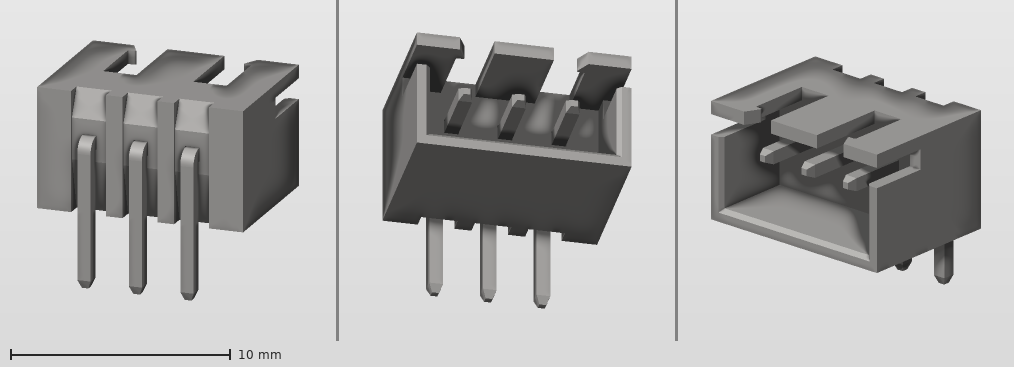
import cadquery as cq


WIDTH = 10.0
DEPTH = 7.21
HEIGHT = 5.8
WALL = 0.65
CAVITY_DEPTH = 4.0
MOUTH_FLARE = 0.2

SIDE_SLOT_DEPTH = 3.03
SIDE_SLOT_HEIGHT = 1.0
ROOF_SLOT_DEPTH = CAVITY_DEPTH
ROOF_SLOT_INNER = 1.38
ROOF_SLOT_OUTER = 3.0

HOOK_REACH = 0.42
HOOK_LENGTH = 0.8
HOOK_ROUNDING = 0.07

PIN_COUNT = 3
PIN_PITCH = 2.5
PIN_SIZE = 0.64
PIN_AXIS_HEIGHT = 3.42
PIN_REAR = -0.61
PIN_BOTTOM = -3.4
PIN_BEND_RADIUS = 0.7
PIN_TIP_SETBACK = 0.7
TIP_LENGTH = 0.4
TIP_SIZE = PIN_SIZE / 2
PIN_HOLE_SIZE = 0.7

RECESS_WIDTH = 1.7
RECESS_DEPTH = 0.11
RECESS_EDGE_DEPTH = 0.7
RECESS_FACE_BOTTOM = 2.5
RECESS_FACE_TOP = 4.5

CAVITY_TOP = HEIGHT - WALL
CAVITY_HEIGHT = CAVITY_TOP - WALL
CAVITY_WIDTH = WIDTH - 2 * WALL
CAVITY_END = DEPTH - CAVITY_DEPTH

pin_positions = [(i - (PIN_COUNT - 1) / 2) * PIN_PITCH for i in range(PIN_COUNT)]


def box(x_size, y_range, z_range):
    """Box centred on X = 0 that spans the given Y and Z ranges."""
    y_size = y_range[1] - y_range[0]
    z_size = z_range[1] - z_range[0]
    corner = (-x_size / 2, y_range[0], z_range[0])
    return cq.Workplane("XY", origin=corner).box(x_size, y_size, z_size, centered=False)


def make_cavity():
    """Blind cavity with a flared mouth; its ceiling stays flat."""
    cavity = box(CAVITY_WIDTH, (CAVITY_END, DEPTH), (WALL, CAVITY_TOP))
    flare_height = CAVITY_HEIGHT + MOUTH_FLARE
    flare = (
        cq.Workplane("XZ", origin=(0, DEPTH, CAVITY_TOP))
        .center(0, -flare_height / 2)
        .rect(CAVITY_WIDTH + 2 * MOUTH_FLARE, flare_height)
        .workplane(offset=MOUTH_FLARE)
        .center(0, MOUTH_FLARE / 2)
        .rect(CAVITY_WIDTH, CAVITY_HEIGHT)
        .loft(ruled=True)
    )
    return cavity.union(flare)


def make_side_slots():
    """One cut through both side walls, directly below the roof."""
    return box(WIDTH, (DEPTH - SIDE_SLOT_DEPTH, DEPTH), (CAVITY_TOP - SIDE_SLOT_HEIGHT, CAVITY_TOP))


def make_roof_slot():
    """Slot through the roof on the +X side; its outline leaves the latch hook standing."""
    hook_tip = ROOF_SLOT_OUTER - HOOK_REACH
    hook_rear = DEPTH - HOOK_LENGTH
    slot_end = DEPTH - ROOF_SLOT_DEPTH
    mid_height = CAVITY_TOP + WALL / 2
    slot = (
        cq.Workplane("XY", origin=(0, 0, CAVITY_TOP))
        .polyline([
            (ROOF_SLOT_INNER, DEPTH),
            (ROOF_SLOT_OUTER, DEPTH),
            (hook_tip, hook_rear),
            (ROOF_SLOT_OUTER, hook_rear),
            (ROOF_SLOT_OUTER, slot_end),
            (ROOF_SLOT_INNER, slot_end),
        ])
        .close()
        .extrude(WALL)
    )
    for x in (hook_tip, ROOF_SLOT_OUTER):
        corner = cq.selectors.NearestToPointSelector((x, hook_rear, mid_height))
        slot = slot.edges(corner).fillet(HOOK_ROUNDING)
    return slot


def make_rear_recess():
    """Full-height recess with an upright face between two slopes."""
    return (
        cq.Workplane("YZ")
        .polyline([
            (0, 0),
            (RECESS_EDGE_DEPTH, 0),
            (RECESS_DEPTH, RECESS_FACE_BOTTOM),
            (RECESS_DEPTH, RECESS_FACE_TOP),
            (RECESS_EDGE_DEPTH, HEIGHT),
            (0, HEIGHT),
        ])
        .close()
        .extrude(RECESS_WIDTH / 2, both=True)
    )


def make_pin_hole():
    """Square clearance hole from the rear wall into the cavity."""
    half = PIN_HOLE_SIZE / 2
    return box(PIN_HOLE_SIZE, (0, CAVITY_END), (PIN_AXIS_HEIGHT - half, PIN_AXIS_HEIGHT + half))


def make_housing():
    housing = box(WIDTH, (0, DEPTH), (0, HEIGHT))
    housing = housing.cut(make_cavity()).cut(make_side_slots())
    roof_slot = make_roof_slot()
    housing = housing.cut(roof_slot).cut(roof_slot.mirror("YZ"))
    rear_cut = make_rear_recess().union(make_pin_hole())
    for x in pin_positions:
        housing = housing.cut(rear_cut.translate((x, 0, 0)))
    return housing


def make_tip(origin, direction):
    """Pyramid-shaped pin end that narrows along the given direction."""
    return (
        cq.Workplane(cq.Plane(origin, (1, 0, 0), direction))
        .rect(PIN_SIZE, PIN_SIZE)
        .workplane(offset=TIP_LENGTH)
        .rect(TIP_SIZE, TIP_SIZE)
        .loft(ruled=True)
    )


def make_pin(x):
    """Square wire bent through a right angle, pointed at both ends."""
    half = PIN_SIZE / 2
    front_end = DEPTH - PIN_TIP_SETBACK - TIP_LENGTH
    lower_end = PIN_BOTTOM + TIP_LENGTH
    leg_axis = PIN_REAR + half
    bend_axis_radius = PIN_BEND_RADIUS - half
    path = (
        cq.Workplane("YZ")
        .moveTo(front_end, PIN_AXIS_HEIGHT)
        .lineTo(leg_axis + bend_axis_radius, PIN_AXIS_HEIGHT)
        .tangentArcPoint((-bend_axis_radius, -bend_axis_radius))
        .lineTo(leg_axis, lower_end)
    )
    wire_body = (
        cq.Workplane("XZ", origin=(0, front_end, PIN_AXIS_HEIGHT))
        .rect(PIN_SIZE, PIN_SIZE)
        .sweep(path)
    )
    front_tip = make_tip((0, front_end, PIN_AXIS_HEIGHT), (0, 1, 0))
    lower_tip = make_tip((0, leg_axis, lower_end), (0, 0, -1))
    return wire_body.union(front_tip).union(lower_tip).translate((x, 0, 0))


housing = make_housing()
pins = [make_pin(x) for x in pin_positions]

result = cq.Compound.makeCompound([housing.val(), *[pin.val() for pin in pins]])